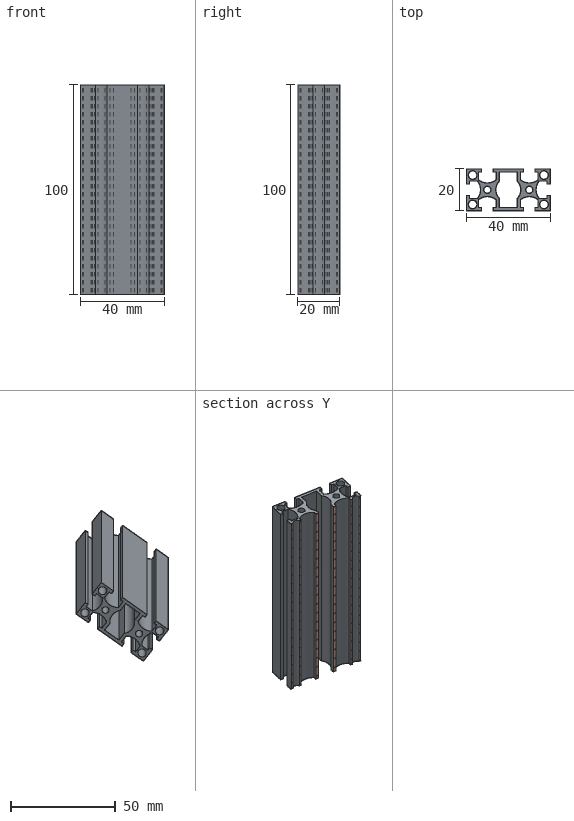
import cadquery as cq

cell = 20.0
width = 2 * cell
length = 100.0

wall = 1.6
slot_opening = 5.4
slot_inner_width = 8.3
slot_floor_radius = 6.7

cavity_bulge_radius = 5.9
cavity_width = cell - slot_inner_width - 2 * wall
cavity_height = cell - 2 * wall

core_hole_diameter = 3.3
corner_hole_diameter = 4.0
corner_hole_inset = 3.0


def t_slot():
    """Slot cutter with its mouth centred on the origin, opening toward +Y."""
    chamber = (
        cq.Workplane("XY")
        .circle(slot_floor_radius)
        .extrude(length)
        .intersect(
            cq.Workplane("XY")
            .center(0, -wall - cell / 2)
            .rect(slot_inner_width, cell)
            .extrude(length)
        )
    )
    mouth = cq.Workplane("XY").rect(slot_opening, 4 * wall).extrude(length)
    return chamber.union(mouth)


def central_cavity():
    """Rectangular cavity whose left and right sides bulge around a central circle."""
    box = cq.Workplane("XY").rect(cavity_width, cavity_height).extrude(length)
    bulge = cq.Workplane("XY").circle(cavity_bulge_radius).extrude(length)
    return box.union(bulge)


body = cq.Workplane("XY").rect(width, cell).extrude(length)
body = body.cut(central_cavity())

for side in (-1, 1):
    cell_x = side * cell / 2
    for angle in (0, 180, -90 * side):
        slot = (
            t_slot()
            .translate((0, cell / 2, 0))
            .rotate((0, 0, 0), (0, 0, 1), angle)
            .translate((cell_x, 0, 0))
        )
        body = body.cut(slot)

core_holes = (
    cq.Workplane("XY")
    .rarray(cell, 1, 2, 1)
    .circle(core_hole_diameter / 2)
    .extrude(length)
)
corner_holes = (
    cq.Workplane("XY")
    .rarray(width - 2 * corner_hole_inset, cell - 2 * corner_hole_inset, 2, 2)
    .circle(corner_hole_diameter / 2)
    .extrude(length)
)

result = body.cut(core_holes).cut(corner_holes)